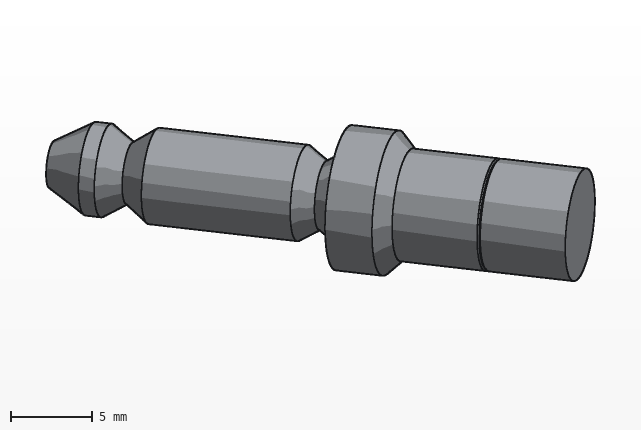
import cadquery as cq

tip_diameter = 2.95
head_diameter = 5.8
front_neck_diameter = 3.85
shank_diameter = 5.98
rear_neck_diameter = 4.3
collar_diameter = 9.0
body_diameter = 7.0

total_length = 33.6
head_start = 2.45
head_end = 3.45
front_neck = 4.97
shank_start = 6.48
collar_start = 18.58
collar_length = 4.0
collar_chamfer = (collar_diameter - body_diameter) / 2
collar_end = collar_start + collar_length

rear_neck_width = 2.62
shank_end = collar_start - rear_neck_width
rear_neck = collar_start - rear_neck_width / 2

groove_width = 0.2
groove_depth = 0.1
groove_center = (collar_end + total_length) / 2

profile_stations = [
    (0, tip_diameter),
    (head_start, head_diameter),
    (head_end, head_diameter),
    (front_neck, front_neck_diameter),
    (shank_start, shank_diameter),
    (shank_end, shank_diameter),
    (rear_neck, rear_neck_diameter),
    (collar_start, shank_diameter),
    (collar_start, collar_diameter),
    (collar_end - collar_chamfer, collar_diameter),
    (collar_end, body_diameter),
    (groove_center - groove_width / 2, body_diameter),
    (groove_center, body_diameter - 2 * groove_depth),
    (groove_center + groove_width / 2, body_diameter),
    (total_length, body_diameter),
]
outline = [(position, diameter / 2) for position, diameter in profile_stations]

result = (
    cq.Workplane("XZ")
    .polyline([(0, 0)] + outline + [(total_length, 0)])
    .close()
    .revolve(360, (0, 0, 0), (1, 0, 0))
    .translate((-total_length / 2, 0, 0))
)